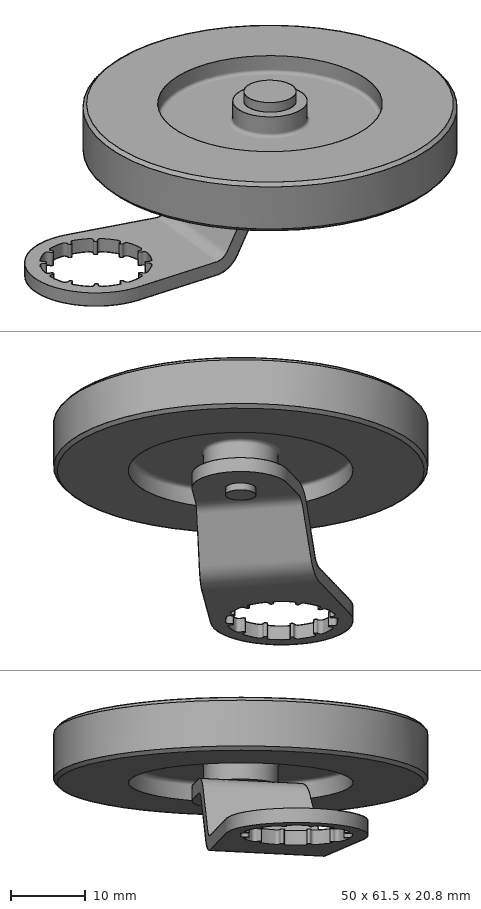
import cadquery as cq
import math


overall_length = 61.5

wheel_diameter = 50.0
wheel_radius = wheel_diameter / 2
wheel_thickness = 7.2
rim_chamfer = 0.5
recess_radius = 15.0
recess_depth = 2.6
recess_fillet = 0.5
hub_radius = 5.0
hub_height = 8.0

head_radius = 3.5
head_height = 1.4
shank_radius = 2.0
shank_overhang = 1.0

arm_thickness = 1.95
arm_drop = 9.3
pivot_end_radius = 6.5
ring_end_radius = 9.5
ring_distance = overall_length - wheel_radius - ring_end_radius
crank_angle = 60.0
crank_start = 6.45
inner_bend_radius = 2.0
outer_bend_radius = inner_bend_radius + arm_thickness
hub_clearance = 0.1

tooth_count = 12
tooth_width = 0.55
tooth_root_radius = 7.5
tooth_tip_radius = 6.6
tooth_root_fillet = 0.5

arm_top = arm_drop + arm_thickness
hub_bottom = arm_top + hub_clearance
hub_top = hub_bottom + hub_height
hub_middle = hub_bottom + hub_height / 2
pin_bottom = arm_drop - shank_overhang


def disc(radius, bottom, height):
    """Upright cylinder on the wheel axis."""
    return cq.Workplane("XY", origin=(0, 0, bottom)).circle(radius).extrude(height)


def make_recess(floor_height):
    """Annular pocket above floor_height, with fillets all round its floor."""
    ring = (
        cq.Workplane("XY", origin=(0, 0, floor_height))
        .circle(recess_radius)
        .circle(hub_radius)
        .extrude(hub_height)
    )
    return ring.faces("<Z").edges().fillet(recess_fillet)


def make_wheel():
    """Chamfered rim, thin web and a hub that stands proud of both wheel faces."""
    rim = disc(wheel_radius, hub_middle - wheel_thickness / 2, wheel_thickness)
    rim = rim.edges().chamfer(rim_chamfer)
    body = rim.union(disc(hub_radius, hub_bottom, hub_height))
    upper_recess = make_recess(hub_middle + wheel_thickness / 2 - recess_depth)
    lower_recess = upper_recess.mirror("XY", (0, 0, hub_middle))
    bore = disc(shank_radius, hub_bottom, hub_height)
    return body.cut(upper_recess).cut(lower_recess).cut(bore)


def make_pin():
    """Headed pin through the wheel hub and the pivot end of the arm."""
    shank = disc(shank_radius, pin_bottom, hub_top - pin_bottom)
    return shank.union(disc(head_radius, hub_top, head_height))


def make_arm_strip():
    """Cranked strip of constant thickness, wider than the finished arm."""
    crank = math.radians(crank_angle)
    crank_run = arm_drop / math.tan(crank)
    mitre_shift = arm_thickness * math.tan(crank / 2)
    upper_corner = -crank_start
    lower_corner = -crank_start - crank_run
    far_end = -ring_distance - ring_end_radius
    strip = (
        cq.Workplane("YZ")
        .moveTo(pivot_end_radius, arm_top)
        .lineTo(upper_corner, arm_top)
        .lineTo(lower_corner, arm_thickness)
        .lineTo(far_end, arm_thickness)
        .lineTo(far_end, 0)
        .lineTo(lower_corner + mitre_shift, 0)
        .lineTo(upper_corner + mitre_shift, arm_drop)
        .lineTo(pivot_end_radius, arm_drop)
        .close()
        .extrude(ring_end_radius, both=True)
    )

    def corner(strip_solid, y, z):
        return strip_solid.edges(cq.selectors.NearestToPointSelector((0, y, z)))

    strip = corner(strip, upper_corner, arm_top).fillet(outer_bend_radius)
    strip = corner(strip, upper_corner + mitre_shift, arm_drop).fillet(inner_bend_radius)
    strip = corner(strip, lower_corner, arm_thickness).fillet(inner_bend_radius)
    return corner(strip, lower_corner + mitre_shift, 0).fillet(outer_bend_radius)


def make_arm_plan():
    """Tapered plan shape: two end arcs joined by their common tangents."""
    taper_sine = (ring_end_radius - pivot_end_radius) / ring_distance
    taper_cosine = math.sqrt(1 - taper_sine**2)
    pivot_x = pivot_end_radius * taper_cosine
    pivot_y = pivot_end_radius * taper_sine
    ring_x = ring_end_radius * taper_cosine
    ring_y = -ring_distance + ring_end_radius * taper_sine
    return (
        cq.Workplane("XY")
        .moveTo(pivot_x, pivot_y)
        .threePointArc((0, pivot_end_radius), (-pivot_x, pivot_y))
        .lineTo(-ring_x, ring_y)
        .threePointArc((0, -ring_distance - ring_end_radius), (ring_x, ring_y))
        .close()
        .extrude(arm_top)
    )


def make_toothed_hole():
    """Round opening less its ring of round-tipped inward teeth."""
    opening = cq.Workplane("XY").circle(tooth_root_radius).extrude(arm_thickness)
    tip_centre = tooth_tip_radius + tooth_width / 2
    tooth_length = 2 * (tooth_root_radius - tip_centre)
    tooth = (
        cq.Workplane("XY")
        .center(tip_centre + tooth_length / 2, 0)
        .slot2D(tooth_length + tooth_width, tooth_width)
        .extrude(arm_thickness)
    )
    for index in range(tooth_count):
        opening = opening.cut(tooth.rotate((0, 0, 0), (0, 0, 1), index * 360 / tooth_count))
    past_tips = tooth_root_radius - tooth_width / 2
    roots = opening.edges("|Z").filter(
        lambda edge: math.hypot(edge.Center().x, edge.Center().y) > past_tips
    )
    opening = roots.fillet(tooth_root_fillet)
    return opening.translate((0, -ring_distance, 0))


def make_arm():
    """Cranked arm with the pin hole and the toothed hole."""
    pin_hole = disc(shank_radius, arm_drop, arm_thickness)
    return make_arm_strip().intersect(make_arm_plan()).cut(pin_hole).cut(make_toothed_hole())


wheel = make_wheel()
pin = make_pin()
arm = make_arm()

result = cq.Compound.makeCompound([wheel.val(), pin.val(), arm.val()])